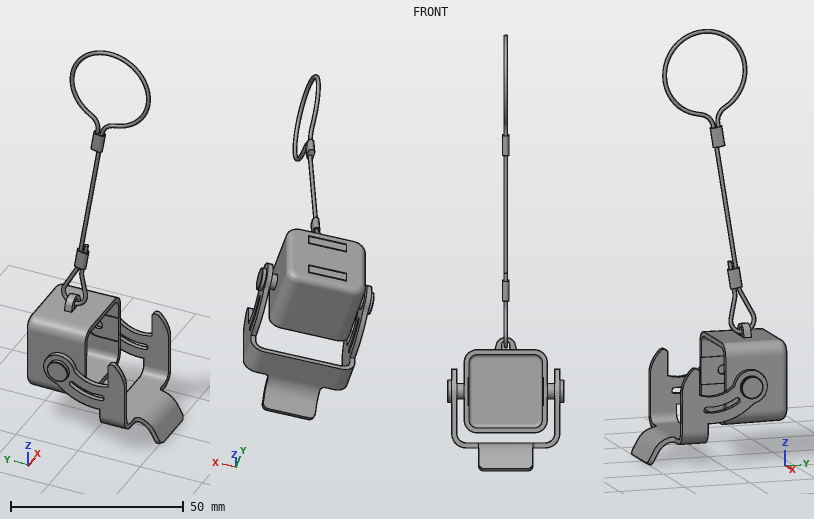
import cadquery as cq
import math


CAP_SIDE = 24.2
CAP_TOP_Z = CAP_SIDE / 2
CAVITY_SIDE = 21.3
CAP_MOUTH_Y = -6.6
CAP_BACK_Y = 12.7
CAP_CORNER = 3.8
CAP_BACK_FILLET = 1.9
CAP_WALL = (CAP_SIDE - CAVITY_SIDE) / 2
CAVITY_FLOOR_FILLET = 1.1
CAP_DRAFT = 0.5

POCKET_RADIUS = 4.0
POCKET_DEPTH = 0.3
PIN_HOLE_RADIUS = 1.4
PIN_HOLE_DEPTH = 1.0

PAD_WIDTH = 11.4
PAD_THICKNESS = 0.3
PAD_HEIGHT = 3.3
PAD_OFFSET = 6.7

LUG_Y = 3.0
LUG_THICKNESS = 2.3
LUG_BASE_HALF = 3.2
LUG_SHOULDER_HALF = 2.7
LUG_SHOULDER_HEIGHT = 1.9
LUG_HEIGHT = 3.5
LUG_HOLE_WIDTH = 2.3
LUG_HOLE_HEIGHT = 2.5

SHEET = 1.5
LEVER_HALF_WIDTH = 15.7
LEVER_BOTTOM_Z = -16.5
LEVER_BEND = 4.2
BOSS_RADIUS = 5.0
BOSS_BLEND = 1.9
ARM_CENTER = (12.0, 8.2)
ARM_INNER_RADIUS = 10.4
ARM_OUTER_RADIUS = 18.4
SLOT_RADIUS = 14.3
SLOT_WIDTH = 1.8
SLOT_START = 237.0
SLOT_END = 276.0
PLATE_BACK = 13.0
PLATE_FRONT = 21.0
HOOK_BACK = 15.7
HOOK_TIP_START = (HOOK_BACK, 5.5)
HOOK_TIP_TOP = (17.0, 6.5)
HOOK_TIP_END = (18.0, 6.0)
HOOK_NOSE = (19.9, 3.4)
HOOK_NOSE_BASE = (PLATE_FRONT, 0.0)

PIN_RADIUS = 2.3
HEAD_RADIUS = 3.3
HEAD_END_X = 33.8 / 2
HEAD_CHAMFER = 0.19

LIP_WIDTH = 15.7
LIP_BEND = 6.8
LIP_ANGLE = 61.0
LIP_STRAIGHT = 4.5
LIP_CORNER = 1.6
LIP_ROOT_FILLET = 1.3

WIRE_RADIUS = 0.57
STRAND_GAP = 1.5
LANYARD_Y = 0.9
LANYARD_Z = 29.4
LANYARD_TILT = 9.2
FERRULE_SPACING = 42.6
FERRULE_LENGTH = 5.8
FERRULE_WIDTH = 3.5
FERRULE_THICKNESS = 1.9
WIRE_STUB = 2.3
RING_RADIUS = 12.3
RING_ABOVE = 62.1
RING_NECK = 4.4
RING_LEAN = 69.0
EYE_RADIUS = 3.5
EYE_BELOW = 12.8
EYE_ACROSS = 0.5
EYE_NECK = 3.8
EYE_LEAN = 20.0


def side_plane(x):
    """Plane seen from -X: first coordinate forward (-Y), second up (+Z), normal -X."""
    return cq.Workplane(cq.Plane(origin=(x, 0, 0), xDir=(0, -1, 0), normal=(-1, 0, 0)))


def back_plane(y):
    """Plane with normal +Y, second coordinate up (+Z)."""
    return cq.Workplane(cq.Plane(origin=(0, y, 0), xDir=(-1, 0, 0), normal=(0, 1, 0)))


def pin_along_x(x_start, x_end, radius):
    """Cylinder on the pivot axis."""
    start = cq.Workplane("YZ").workplane(offset=x_start)
    return start.circle(radius).extrude(x_end - x_start)


def make_cap():
    depth = CAP_BACK_Y - CAP_MOUTH_Y
    shell = back_plane(CAP_MOUTH_Y).rect(CAP_SIDE, CAP_SIDE).extrude(depth, taper=CAP_DRAFT)
    shell = shell.edges("not(<Y or >Y)").fillet(CAP_CORNER)
    shell = shell.faces(">Y").edges().fillet(CAP_BACK_FILLET)

    cavity = back_plane(CAP_MOUTH_Y).rect(CAVITY_SIDE, CAVITY_SIDE).extrude(depth - CAP_WALL)
    cavity = cavity.edges("|Y").fillet(CAP_CORNER - CAP_WALL)
    cavity = cavity.faces(">Y").edges().fillet(CAVITY_FLOOR_FILLET)

    pocket_half = CAVITY_SIDE / 2 + POCKET_DEPTH
    pockets = pin_along_x(-pocket_half, pocket_half, POCKET_RADIUS)
    pocket_mouth = (
        cq.Workplane("XY")
        .box(2 * pocket_half, -CAP_MOUTH_Y, 2 * POCKET_RADIUS)
        .translate((0, CAP_MOUTH_Y / 2, 0))
    )
    return shell.cut(cavity).cut(pockets).cut(pocket_mouth)


def make_pads():
    centers = [(0, -PAD_OFFSET), (0, PAD_OFFSET)]
    return back_plane(CAP_BACK_Y).pushPoints(centers).rect(PAD_WIDTH, PAD_HEIGHT).extrude(PAD_THICKNESS)


def make_lug():
    root_z = CAP_TOP_Z - CAP_WALL / 2
    shoulder_z = CAP_TOP_Z + LUG_SHOULDER_HEIGHT
    start = cq.Workplane("XZ", origin=(0, LUG_Y + LUG_THICKNESS / 2, 0))
    lug = (
        start.moveTo(-LUG_BASE_HALF, root_z)
        .lineTo(-LUG_BASE_HALF, CAP_TOP_Z)
        .lineTo(-LUG_SHOULDER_HALF, shoulder_z)
        .threePointArc((0, CAP_TOP_Z + LUG_HEIGHT), (LUG_SHOULDER_HALF, shoulder_z))
        .lineTo(LUG_BASE_HALF, CAP_TOP_Z)
        .lineTo(LUG_BASE_HALF, root_z)
        .close()
        .extrude(LUG_THICKNESS)
    )
    half = LUG_HOLE_WIDTH / 2
    arch_z = CAP_TOP_Z + LUG_HOLE_HEIGHT - half
    hole = (
        start.moveTo(-half, CAP_TOP_Z)
        .lineTo(-half, arch_z)
        .threePointArc((0, arch_z + half), (half, arch_z))
        .lineTo(half, CAP_TOP_Z)
        .close()
        .extrude(LUG_THICKNESS)
    )
    return lug.cut(hole)


def on_boss(edge):
    """True for an edge along X on the round boss of the lever."""
    middle = edge.Center()
    return math.isclose(math.hypot(middle.y, middle.z), BOSS_RADIUS, abs_tol=0.01)


def make_side_profile(length):
    """Solid with the outline of the lever seen from the side, running through its whole width."""
    start = side_plane(length / 2)
    arm_x, arm_z = ARM_CENTER

    boss = start.circle(BOSS_RADIUS).extrude(length)

    arm_ring = start.moveTo(arm_x, arm_z).circle(ARM_OUTER_RADIUS).circle(ARM_INNER_RADIUS).extrude(length)
    arm_region = (
        start.moveTo(arm_x, arm_z)
        .lineTo(-BOSS_RADIUS, -BOSS_RADIUS / 2)
        .lineTo(0, LEVER_BOTTOM_Z)
        .lineTo(HOOK_BACK, LEVER_BOTTOM_Z)
        .lineTo(HOOK_BACK, arm_z)
        .close()
        .extrude(length)
    )
    arm = arm_ring.intersect(arm_region)

    arm_meets_hook = arm_z - math.sqrt(ARM_INNER_RADIUS**2 - (HOOK_BACK - arm_x) ** 2)
    arm_meets_plate = arm_z - math.sqrt(ARM_OUTER_RADIUS**2 - (PLATE_BACK - arm_x) ** 2)
    plate = (
        start.moveTo(PLATE_BACK, LEVER_BOTTOM_Z)
        .lineTo(PLATE_BACK, arm_meets_plate)
        .lineTo(HOOK_BACK, arm_meets_hook)
        .lineTo(*HOOK_TIP_START)
        .threePointArc(HOOK_TIP_TOP, HOOK_TIP_END)
        .threePointArc(HOOK_NOSE, HOOK_NOSE_BASE)
        .lineTo(PLATE_FRONT, LEVER_BOTTOM_Z)
        .close()
        .extrude(length)
    )

    profile = boss.union(arm).union(plate)
    corners = [edge for edge in profile.edges("|X").vals() if on_boss(edge)]
    return profile.newObject(corners).fillet(BOSS_BLEND)


def make_slot(length):
    """Curved slot concentric with the arm, with round ends."""
    start = side_plane(length / 2)

    def point(radius, angle):
        turn = math.radians(angle)
        return (ARM_CENTER[0] + radius * math.cos(turn), ARM_CENTER[1] + radius * math.sin(turn))

    inner = SLOT_RADIUS - SLOT_WIDTH / 2
    outer = SLOT_RADIUS + SLOT_WIDTH / 2
    middle_angle = (SLOT_START + SLOT_END) / 2
    end_turn = math.degrees(SLOT_WIDTH / 2 / SLOT_RADIUS)
    return (
        start.moveTo(*point(inner, SLOT_START))
        .threePointArc(point(inner, middle_angle), point(inner, SLOT_END))
        .threePointArc(point(SLOT_RADIUS, SLOT_END + end_turn), point(outer, SLOT_END))
        .threePointArc(point(outer, middle_angle), point(outer, SLOT_START))
        .threePointArc(point(SLOT_RADIUS, SLOT_START - end_turn), point(inner, SLOT_START))
        .close()
        .extrude(length)
    )


def make_bent_sheet():
    """U-shaped sheet with rounded bends, long enough to hold the whole side profile."""
    height = 2 * BOSS_RADIUS - LEVER_BOTTOM_Z
    depth = 2 * PLATE_FRONT

    def block(margin):
        width = 2 * (LEVER_HALF_WIDTH - margin)
        solid = cq.Workplane("XY", origin=(0, 0, LEVER_BOTTOM_Z + margin)).rect(width, 2 * depth)
        solid = solid.extrude(height)
        return solid.edges("|Y and <Z").fillet(LEVER_BEND - margin)

    return block(0).cut(block(SHEET))


def make_lip():
    """Thumb lip: bent down from the bottom web of the lever, then straight."""
    top_z = LEVER_BOTTOM_Z + SHEET
    bend_center = (PLATE_FRONT, top_z - LIP_BEND)

    def on_bend(radius, angle):
        turn = math.radians(angle)
        return (bend_center[0] + radius * math.sin(turn), bend_center[1] + radius * math.cos(turn))

    def past_bend(radius):
        end = on_bend(radius, LIP_ANGLE)
        turn = math.radians(LIP_ANGLE)
        return (end[0] + LIP_STRAIGHT * math.cos(turn), end[1] - LIP_STRAIGHT * math.sin(turn))

    outer = LIP_BEND
    inner = LIP_BEND - SHEET
    root_width = LIP_WIDTH + 2 * LIP_ROOT_FILLET
    strip = (
        side_plane(root_width / 2)
        .moveTo(*on_bend(outer, 0))
        .threePointArc(on_bend(outer, LIP_ANGLE / 2), on_bend(outer, LIP_ANGLE))
        .lineTo(*past_bend(outer))
        .lineTo(*past_bend(inner))
        .lineTo(*on_bend(inner, LIP_ANGLE))
        .threePointArc(on_bend(inner, LIP_ANGLE / 2), on_bend(inner, 0))
        .close()
        .extrude(root_width)
    )

    half = LIP_WIDTH / 2
    root_half = half + LIP_ROOT_FILLET
    flare_y = -PLATE_FRONT - LIP_ROOT_FILLET
    flare_middle = LIP_ROOT_FILLET * (1 - math.sqrt(0.5))
    end_y = -past_bend(outer)[0] - LIP_STRAIGHT
    outline = (
        cq.Workplane("XY", origin=(0, 0, LEVER_BOTTOM_Z + SHEET))
        .moveTo(-root_half, -PLATE_FRONT)
        .threePointArc((-half - flare_middle, -PLATE_FRONT - flare_middle), (-half, flare_y))
        .lineTo(-half, end_y)
        .lineTo(half, end_y)
        .lineTo(half, flare_y)
        .threePointArc((half + flare_middle, -PLATE_FRONT - flare_middle), (root_half, -PLATE_FRONT))
        .close()
        .extrude(-2 * LIP_BEND)
    )
    lip = strip.intersect(outline)

    tip_y = -(past_bend(outer)[0] + past_bend(inner)[0]) / 2
    tip_z = (past_bend(outer)[1] + past_bend(inner)[1]) / 2
    for side in (-1, 1):
        corner = cq.selectors.NearestToPointSelector((side * half, tip_y, tip_z))
        lip = lip.edges(corner).fillet(LIP_CORNER)
    return lip


def make_lever():
    length = 2 * LEVER_HALF_WIDTH
    lever = make_side_profile(length).cut(make_slot(length)).intersect(make_bent_sheet())
    return lever.union(make_lip())


def make_pin(side):
    """Pivot pin from the outside of the cap wall to its head."""
    shank = pin_along_x(CAP_SIDE / 2 - CAP_WALL / 2, LEVER_HALF_WIDTH, PIN_RADIUS)
    head = pin_along_x(LEVER_HALF_WIDTH, HEAD_END_X, HEAD_RADIUS).faces(">X").edges().chamfer(HEAD_CHAMFER)
    pin = shank.union(head)
    return pin if side > 0 else pin.mirror("YZ")


def make_pin_hole(side):
    """Blind hole in the middle of the pocket floor."""
    start_x = side * (CAVITY_SIDE / 2 + POCKET_DEPTH)
    return pin_along_x(start_x, start_x + side * PIN_HOLE_DEPTH, PIN_HOLE_RADIUS)


def make_cover():
    """Cap, lug, pads, pins and lever as one body."""
    cover = make_cap().union(make_pads()).union(make_lug()).union(make_lever())
    for side in (-1, 1):
        cover = cover.union(make_pin(side)).cut(make_pin_hole(side))
    return cover


def rope_plane():
    """Plane of the lanyard: first coordinate across the straight rope, second along it."""
    turn = math.radians(LANYARD_TILT)
    return cq.Plane(
        origin=(0, LANYARD_Y, LANYARD_Z),
        xDir=(0, -math.cos(turn), -math.sin(turn)),
        normal=(-1, 0, 0),
    )


def neck_points(strand, side, center, radius, neck_radius, lean, upward):
    """Points where a straight strand of the rope opens into a round loop.

    The strand bends outward by `lean` degrees on an arc of neck_radius, then runs straight until it
    touches the loop. Returns the start, middle and end of the arc and the touching point.
    `side` is -1 or 1 across the rope; `upward` is 1 for a loop above its strand and -1 below.
    """
    turn = math.radians(lean)
    center_u, center_v = center
    touch_reach = side * (center_u + side * radius * math.cos(turn) - strand)
    straight = (touch_reach - neck_radius * (1 - math.cos(turn))) / math.sin(turn)
    touch_rise = center_v - upward * radius * math.sin(turn)
    start_v = touch_rise - upward * (straight * math.cos(turn) + neck_radius * math.sin(turn))

    def on_neck(angle):
        out = neck_radius * (1 - math.cos(angle))
        return (strand + side * out, start_v + upward * neck_radius * math.sin(angle))

    touch = (strand + side * touch_reach, touch_rise)
    return on_neck(0), on_neck(turn / 2), on_neck(turn), touch


def make_wire():
    """One wire: stub, eye through the lug, straight rope, ring, and back into the upper ferrule."""
    eye_center = (EYE_ACROSS, -EYE_BELOW)
    eye = (eye_center, EYE_RADIUS, EYE_NECK, EYE_LEAN, -1)
    ring_center = (0, RING_ABOVE)
    ring = (ring_center, RING_RADIUS, RING_NECK, RING_LEAN, 1)

    eye_right = neck_points(STRAND_GAP, 1, *eye)
    eye_left = neck_points(0, -1, *eye)
    ring_right = neck_points(0, 1, *ring)
    ring_left = neck_points(-STRAND_GAP, -1, *ring)

    stub_start = (STRAND_GAP, FERRULE_LENGTH / 2 + WIRE_STUB)
    ring_end = (-STRAND_GAP, FERRULE_SPACING - FERRULE_LENGTH / 2)
    path = (
        cq.Workplane(rope_plane())
        .moveTo(*stub_start)
        .lineTo(*eye_right[0])
        .threePointArc(eye_right[1], eye_right[2])
        .lineTo(*eye_right[3])
        .threePointArc((eye_center[0], eye_center[1] - EYE_RADIUS), eye_left[3])
        .lineTo(*eye_left[2])
        .threePointArc(eye_left[1], eye_left[0])
        .lineTo(*ring_right[0])
        .threePointArc(ring_right[1], ring_right[2])
        .lineTo(*ring_right[3])
        .threePointArc((ring_center[0], ring_center[1] + RING_RADIUS), ring_left[3])
        .lineTo(*ring_left[2])
        .threePointArc(ring_left[1], ring_left[0])
        .lineTo(*ring_end)
    )
    plane = rope_plane()
    section = cq.Plane(origin=plane.toWorldCoords(stub_start), xDir=(1, 0, 0), normal=plane.yDir)
    return cq.Workplane(section).circle(WIRE_RADIUS).sweep(path)


def make_ferrule(center):
    """Flattened tube pressed around two strands."""
    plane = rope_plane()
    base = (center[0], center[1] - FERRULE_LENGTH / 2)
    section = cq.Plane(origin=plane.toWorldCoords(base), xDir=plane.xDir, normal=plane.yDir)
    return cq.Workplane(section).slot2D(FERRULE_WIDTH, FERRULE_THICKNESS).extrude(FERRULE_LENGTH)


def make_lanyard():
    """Wire and its two ferrules as one body."""
    lower_center = (STRAND_GAP / 2, 0)
    upper_center = (-STRAND_GAP / 2, FERRULE_SPACING)
    lanyard = make_wire()
    for center in (lower_center, upper_center):
        lanyard = lanyard.union(make_ferrule(center))
    return lanyard


cover = make_cover()
lanyard = make_lanyard()
result = cq.Compound.makeCompound([cover.val(), lanyard.val()])